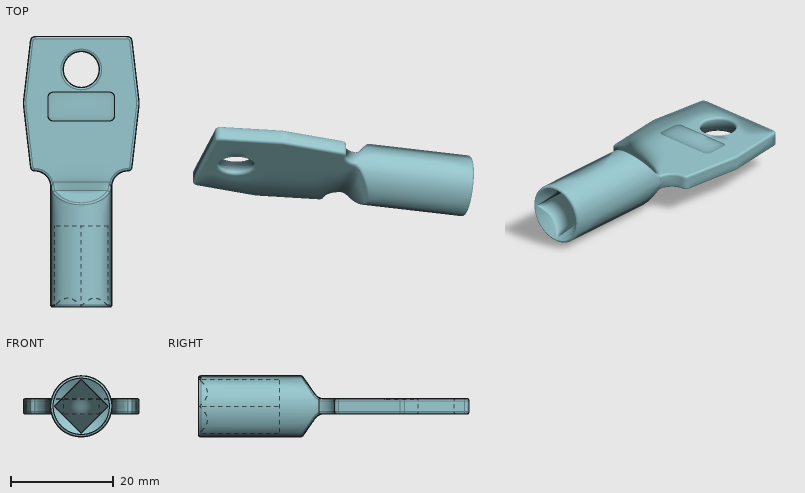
import cadquery as cq
import math

length = 53
shank_diameter = 12.0
shank_radius = shank_diameter / 2
handle_thickness = 3.0
half_thickness = handle_thickness / 2
edge_radius = 0.5

handle_half_width = 22.7 / 2
handle_end_half_width = 9.85
widest_y = 39.9
shoulder_y = 26.65
neck_y = 23.6
neck_radius = shoulder_y - neck_y
end_corner_radius = 1.0
shoulder_corner_radius = 0.85
waist_radius = 4.0
bevel_angle = math.atan2(handle_half_width - handle_end_half_width, length - widest_y)
waist_corner_x = handle_half_width + waist_radius * (1 / math.cos(bevel_angle) - 1)

taper_angle = math.radians(55)
taper_blend_radius = 2.0
taper_end_y = 23.4
taper_start_y = taper_end_y - (shank_radius - half_thickness) / math.tan(taper_angle)

hole_diameter = 7.0
hole_y = 46.55

panel_length = 13.05
panel_width = 5.6
panel_depth = 0.2
panel_corner_radius = 1.0
panel_y = 39.25

socket_diagonal = 10.55
socket_depth = 15.9
lead_in_radius = shank_radius - edge_radius


def handle():
    """Flat plate with bevelled sides, concave shoulders, a hole and rounded edges."""
    plate = (
        cq.Workplane("XY")
        .moveTo(-shank_radius, neck_y)
        .radiusArc((-shank_radius - neck_radius, shoulder_y), -neck_radius)
        .lineTo(-handle_end_half_width, shoulder_y)
        .lineTo(-waist_corner_x, widest_y)
        .lineTo(-handle_end_half_width, length)
        .lineTo(handle_end_half_width, length)
        .lineTo(waist_corner_x, widest_y)
        .lineTo(handle_end_half_width, shoulder_y)
        .lineTo(shank_radius + neck_radius, shoulder_y)
        .radiusArc((shank_radius, neck_y), -neck_radius)
        .close()
        .extrude(half_thickness, both=True)
    )
    plate = plate.edges("|Z and >Y").fillet(end_corner_radius)
    for side in (-1, 1):
        shoulder = cq.NearestToPointSelector((side * handle_end_half_width, shoulder_y, 0))
        waist = cq.NearestToPointSelector((side * waist_corner_x, widest_y, 0))
        plate = plate.edges(shoulder).fillet(shoulder_corner_radius)
        plate = plate.edges(waist).fillet(waist_radius)

    hole = cq.Workplane("XY", origin=(0, hole_y, -half_thickness)).circle(hole_diameter / 2)
    plate = plate.cut(hole.extrude(handle_thickness))
    return plate.faces("|Z").edges("not(<Y)").fillet(edge_radius)


def side_envelope():
    """Prism along X: full shank height, sloping down to the handle thickness."""
    prism = (
        cq.Workplane("YZ")
        .moveTo(0, -shank_radius)
        .lineTo(taper_start_y, -shank_radius)
        .lineTo(taper_end_y, -half_thickness)
        .lineTo(length, -half_thickness)
        .lineTo(length, half_thickness)
        .lineTo(taper_end_y, half_thickness)
        .lineTo(taper_start_y, shank_radius)
        .lineTo(0, shank_radius)
        .close()
        .extrude(shank_diameter, both=True)
    )
    for side in (-1, 1):
        bend = cq.NearestToPointSelector((0, taper_end_y, side * half_thickness))
        prism = prism.edges(bend).fillet(taper_blend_radius)
    return prism


def shank():
    """Round bar flattened into the handle, with its mouth and flat rims rounded."""
    bar = cq.Workplane("XZ").circle(shank_radius).extrude(-shoulder_y)
    bar = bar.faces("<Y").edges().fillet(edge_radius)
    bar = bar.intersect(side_envelope())
    for side in (-1, 1):
        near_flat = cq.selectors.BoxSelector(
            (-shank_radius, neck_y / 2, side * half_thickness / 2),
            (shank_radius, length, side * shank_diameter),
        )
        bar = bar.edges(near_flat).edges("not(|X or >Y)").fillet(edge_radius)
    return bar


def socket():
    """Cutter for the square hole and the lead-in cone at the mouth of the shank."""
    square = cq.Workplane("XZ").polygon(4, socket_diagonal).extrude(-socket_depth)
    mouth = cq.Vector(0, 0, 0)
    inward = cq.Vector(0, 1, 0)
    lead_in = cq.Solid.makeCone(lead_in_radius, 0, lead_in_radius, mouth, inward)
    return square.union(cq.Workplane(lead_in))


def panel():
    """Cutter for the recessed panel."""
    return (
        cq.Workplane("XY", origin=(0, panel_y, half_thickness))
        .rect(panel_length, panel_width)
        .extrude(-panel_depth)
        .edges("|Z")
        .fillet(panel_corner_radius)
    )


result = handle().union(shank()).cut(socket()).cut(panel())